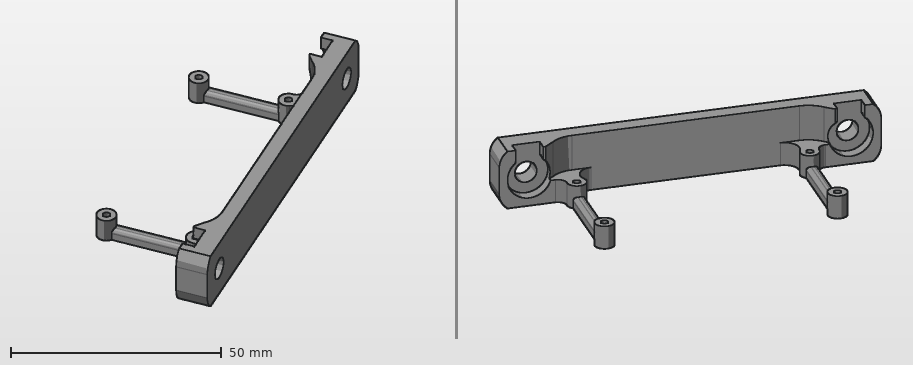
import cadquery as cq
import math

reach = 35.85
length = 94.6
height = 15.0

bar_depth = 8.0
wall_depth = 4.0
corner_radius = 5.0
end_flat_height = 7.0
face_x = reach - bar_depth
wall_x = reach - wall_depth

recess_flat_half = 28.2
recess_radius = 7.6
recess_sweep = math.radians(45)
recess_half = 35.85

screw_y = 39.8
screw_z = height / 2
screw_dia = 5.4
counterbore_dia = 10.9
counterbore_depth = 3.0
slot_width = 6.8

arm_y = 28.85
boss_dia = 4.8
boss_radius = boss_dia / 2
boss_hole_dia = 1.8
boss_height = 6.0
boss_spacing = 23.0
outer_boss_x = boss_radius
inner_boss_x = outer_boss_x + boss_spacing
outer_blend_radius = 2.2
inner_blend_radius = 3.7
rod_width = 2.9
rod_height = 3.0
rod_fillet = 1.0


def make_bar():
    """Bar whose corner arcs leave the flat ends tangentially and meet the top and base at an angle."""
    end_y = length / 2
    middle_z = height / 2
    flat_rise = end_flat_height / 2
    arc_rise = middle_z - flat_rise
    arc_angle = math.asin(arc_rise / corner_radius)
    corner_y = end_y - corner_radius * (1 - math.cos(arc_angle))
    half_y = end_y - corner_radius * (1 - math.cos(arc_angle / 2))
    half_rise = flat_rise + corner_radius * math.sin(arc_angle / 2)
    return (
        cq.Workplane("YZ", origin=(face_x, 0, middle_z))
        .moveTo(-corner_y, -middle_z)
        .lineTo(corner_y, -middle_z)
        .threePointArc((half_y, -half_rise), (end_y, -flat_rise))
        .lineTo(end_y, flat_rise)
        .threePointArc((half_y, half_rise), (corner_y, middle_z))
        .lineTo(-corner_y, middle_z)
        .threePointArc((-half_y, half_rise), (-end_y, flat_rise))
        .lineTo(-end_y, -flat_rise)
        .threePointArc((-half_y, -half_rise), (-corner_y, -middle_z))
        .close()
        .extrude(bar_depth)
    )


def make_recess():
    """Full-height cutter that leaves the thin wall between the two bar ends."""
    half_sweep = recess_sweep / 2
    arc_x = wall_x - recess_radius * (1 - math.cos(recess_sweep))
    arc_y = recess_flat_half + recess_radius * math.sin(recess_sweep)
    middle_x = wall_x - recess_radius * (1 - math.cos(half_sweep))
    middle_y = recess_flat_half + recess_radius * math.sin(half_sweep)
    return (
        cq.Workplane("XY")
        .moveTo(face_x, -recess_half)
        .lineTo(arc_x, -arc_y)
        .threePointArc((middle_x, -middle_y), (wall_x, -recess_flat_half))
        .lineTo(wall_x, recess_flat_half)
        .threePointArc((middle_x, middle_y), (arc_x, arc_y))
        .lineTo(face_x, recess_half)
        .close()
        .extrude(height)
    )


def blend_center(flat_x, radius, side):
    """Center of an arc tangent to the inner boss and to the plane X = flat_x."""
    x = flat_x - radius
    offset = math.sqrt((radius + boss_radius) ** 2 - (x - inner_boss_x) ** 2)
    return x, arm_y + side * offset


def boss_contact(center, radius):
    """Point where a blend arc touches the inner boss."""
    share = boss_radius / (boss_radius + radius)
    return (
        inner_boss_x + share * (center[0] - inner_boss_x),
        arm_y + share * (center[1] - arm_y),
    )


def arc_middle(center, radius, start, end):
    """Point halfway along the shorter arc from start to end."""
    dx = (start[0] + end[0]) / 2 - center[0]
    dy = (start[1] + end[1]) / 2 - center[1]
    scale = radius / math.hypot(dx, dy)
    return center[0] + scale * dx, center[1] + scale * dy


def make_web():
    """Flared plate that joins the inner boss to the bar face and to the thin wall."""
    outer_center = blend_center(face_x, outer_blend_radius, 1)
    inner_center = blend_center(wall_x, inner_blend_radius, -1)
    outer_contact = boss_contact(outer_center, outer_blend_radius)
    inner_contact = boss_contact(inner_center, inner_blend_radius)
    outer_end = (face_x, outer_center[1])
    inner_end = (wall_x, inner_center[1])
    return (
        cq.Workplane("XY")
        .moveTo(inner_boss_x, arm_y)
        .lineTo(*outer_contact)
        .threePointArc(arc_middle(outer_center, outer_blend_radius, outer_contact, outer_end), outer_end)
        .lineTo(face_x, recess_half)
        .lineTo(reach, recess_half)
        .lineTo(reach, inner_end[1])
        .lineTo(*inner_end)
        .threePointArc(arc_middle(inner_center, inner_blend_radius, inner_end, inner_contact), inner_contact)
        .close()
        .extrude(boss_height)
    )


def make_rod():
    rod = cq.Workplane("XY").box(boss_spacing, rod_width, rod_height, centered=(False, True, False))
    return rod.edges("|X and >Z").fillet(rod_fillet).translate((outer_boss_x, arm_y, 0))


def make_arm():
    boss_places = [(outer_boss_x, arm_y), (inner_boss_x, arm_y)]
    bosses = cq.Workplane("XY").pushPoints(boss_places).circle(boss_radius).extrude(boss_height)
    holes = cq.Workplane("XY").pushPoints(boss_places).circle(boss_hole_dia / 2).extrude(boss_height)
    return bosses.union(make_rod()).union(make_web()).cut(holes)


def make_screw_cut():
    """Through hole, counterbore in the front face and the slot from it to the top."""
    plane = cq.Workplane("YZ", origin=(face_x, screw_y, screw_z))
    hole = plane.circle(screw_dia / 2).extrude(bar_depth)
    counterbore = plane.circle(counterbore_dia / 2).extrude(counterbore_depth)
    slot_height = height - screw_z
    slot = plane.center(0, slot_height / 2).rect(slot_width, slot_height).extrude(counterbore_depth)
    return hole.union(counterbore).union(slot)


result = make_bar().cut(make_recess())
arm = make_arm()
screw_cut = make_screw_cut()
result = result.union(arm).union(arm.mirror("XZ"))
result = result.cut(screw_cut).cut(screw_cut.mirror("XZ"))